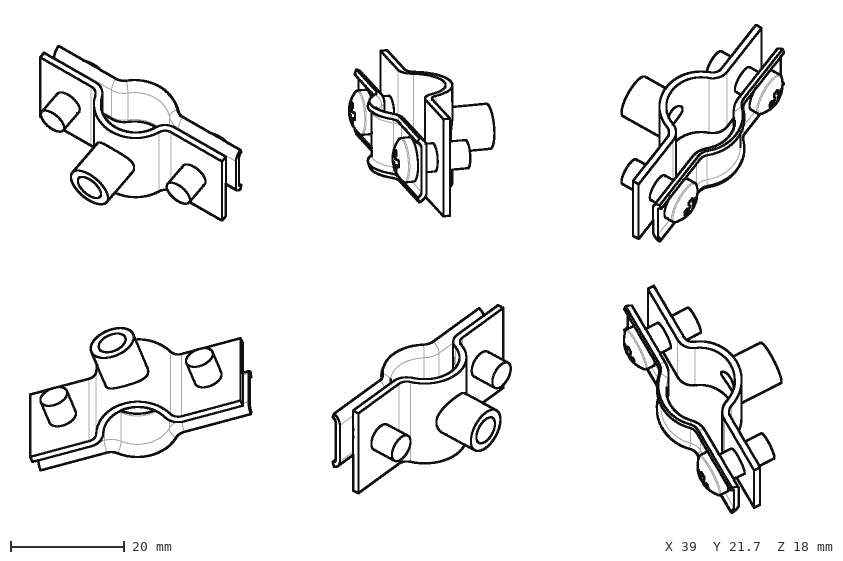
import cadquery as cq
import math

LENGTH = 39.0

SADDLE_WIDTH = 18.0
SADDLE_THICKNESS = 1.2
SADDLE_ARCH_RADIUS = 6.12
SADDLE_BEND_RADIUS = 3.0
SADDLE_BEND_START = 8.55
BOSS_DIAMETER = 8.0
BOSS_BORE = 5.0
BOSS_END = -14.15

CLIP_FRONT = 2.85
CLIP_THICKNESS = 0.98
CLIP_FLAT_WIDTH = 8.2
CURL_RADIUS = 1.0
CURL_ANGLE = math.radians(72)
CLIP_ARCH_RADIUS = 6.25
CLIP_BEND_RADIUS = 3.8
CLIP_BEND_START = 7.18

SCREW_X = 13.5
SHANK_DIAMETER = 5.0
SHANK_TIP = -6.2
HEAD_DIAMETER = 7.85
HEAD_RIM = 1.65
HEAD_HEIGHT = 3.28
RIM_ROUNDING = 0.3
SLOT_WIDTH = 1.2
SLOT_DEPTH = 0.35

CLIP_BACK = CLIP_FRONT + CLIP_THICKNESS
SCREW_POSITIONS = (-SCREW_X, SCREW_X)


def y_cylinder(x, diameter, y_start, y_end):
    """Cylinder along Y, at height Z = 0."""
    return cq.Workplane("XZ", origin=(x, y_start, 0)).circle(diameter / 2).extrude(y_start - y_end)


def make_shank(x):
    """Shank of a screw, from the back of the clip to its tip."""
    return y_cylinder(x, SHANK_DIAMETER, CLIP_BACK, SHANK_TIP)


def cut_screw_holes(strap):
    """Cut a hole that fits each screw shank."""
    for x in SCREW_POSITIONS:
        strap = strap.cut(make_shank(x))
    return strap


def bend_angle(bend_start, arch_radius, bend_radius):
    """Angle that the bend turns through so that it runs smoothly into the arch."""
    return math.asin(bend_start / (arch_radius + bend_radius))


def around(center_y, radius, angle, center_x=0.0):
    """Point on a circle, with the angle measured from +Y towards +X."""
    return (center_x + radius * math.sin(angle), center_y + radius * math.cos(angle))


def make_saddle():
    angle = bend_angle(SADDLE_BEND_START, SADDLE_ARCH_RADIUS, SADDLE_BEND_RADIUS)
    bend_y = -(SADDLE_ARCH_RADIUS + SADDLE_BEND_RADIUS) * math.cos(angle)
    back_y = bend_y + SADDLE_BEND_RADIUS
    front_y = back_y - SADDLE_THICKNESS
    arch_inside = SADDLE_ARCH_RADIUS
    arch_outside = SADDLE_ARCH_RADIUS + SADDLE_THICKNESS
    bend_outside = SADDLE_BEND_RADIUS
    bend_inside = SADDLE_BEND_RADIUS - SADDLE_THICKNESS
    end_x = LENGTH / 2

    def on_arch(radius, side):
        return around(0, radius, side * (math.pi - angle))

    def on_bend(radius, side, turn):
        return around(bend_y, radius, -side * turn, side * SADDLE_BEND_START)

    strap = (
        cq.Workplane("XY")
        .workplane(offset=-SADDLE_WIDTH / 2)
        .moveTo(-end_x, back_y)
        .lineTo(-SADDLE_BEND_START, back_y)
        .threePointArc(on_bend(bend_outside, -1, angle / 2), on_arch(arch_inside, -1))
        .threePointArc((0, -arch_inside), on_arch(arch_inside, 1))
        .threePointArc(on_bend(bend_outside, 1, angle / 2), (SADDLE_BEND_START, back_y))
        .lineTo(end_x, back_y)
        .lineTo(end_x, front_y)
        .lineTo(SADDLE_BEND_START, front_y)
        .threePointArc(on_bend(bend_inside, 1, angle / 2), on_arch(arch_outside, 1))
        .threePointArc((0, -arch_outside), on_arch(arch_outside, -1))
        .threePointArc(on_bend(bend_inside, -1, angle / 2), (-SADDLE_BEND_START, front_y))
        .lineTo(-end_x, front_y)
        .close()
        .extrude(SADDLE_WIDTH)
    )

    arch_middle = (arch_inside + arch_outside) / 2
    arch_core = cq.Workplane("XY").circle(arch_middle).extrude(SADDLE_WIDTH / 2, both=True)
    boss = y_cylinder(0, BOSS_DIAMETER, 0, BOSS_END).cut(arch_core)
    saddle = strap.union(boss).cut(y_cylinder(0, BOSS_BORE, 0, BOSS_END))

    return cut_screw_holes(saddle)


def clip_section(end_x):
    """Cross-section of the clip: a flat web with its two edges curled back."""
    web = CLIP_FLAT_WIDTH / 2
    outer = CURL_RADIUS + CLIP_THICKNESS
    curl_y = CLIP_FRONT + outer

    def on_curl(radius, side, turn):
        return (curl_y - radius * math.cos(turn), side * (web + radius * math.sin(turn)))

    return (
        cq.Workplane("YZ", origin=(end_x, 0, 0))
        .moveTo(CLIP_FRONT, -web)
        .lineTo(CLIP_FRONT, web)
        .threePointArc(on_curl(outer, 1, CURL_ANGLE / 2), on_curl(outer, 1, CURL_ANGLE))
        .lineTo(*on_curl(CURL_RADIUS, 1, CURL_ANGLE))
        .threePointArc(on_curl(CURL_RADIUS, 1, CURL_ANGLE / 2), (CLIP_BACK, web))
        .lineTo(CLIP_BACK, -web)
        .threePointArc(on_curl(CURL_RADIUS, -1, CURL_ANGLE / 2), on_curl(CURL_RADIUS, -1, CURL_ANGLE))
        .lineTo(*on_curl(outer, -1, CURL_ANGLE))
        .threePointArc(on_curl(outer, -1, CURL_ANGLE / 2), (CLIP_FRONT, -web))
        .close()
    )


def make_clip():
    angle = bend_angle(CLIP_BEND_START, CLIP_ARCH_RADIUS, CLIP_BEND_RADIUS)
    bend_y = CLIP_FRONT + CLIP_BEND_RADIUS
    arch_y = bend_y - (CLIP_ARCH_RADIUS + CLIP_BEND_RADIUS) * math.cos(angle)
    end_x = LENGTH / 2

    def on_bend(side, turn):
        return around(bend_y, CLIP_BEND_RADIUS, math.pi + side * turn, side * CLIP_BEND_START)

    path = (
        cq.Workplane("XY")
        .moveTo(-end_x, CLIP_FRONT)
        .lineTo(-CLIP_BEND_START, CLIP_FRONT)
        .threePointArc(on_bend(-1, angle / 2), on_bend(-1, angle))
        .threePointArc((0, arch_y + CLIP_ARCH_RADIUS), on_bend(1, angle))
        .threePointArc(on_bend(1, angle / 2), (CLIP_BEND_START, CLIP_FRONT))
        .lineTo(end_x, CLIP_FRONT)
    )
    clip = clip_section(-end_x).sweep(path)

    return cut_screw_holes(clip)


def make_screw(x):
    """Screw along Y with a domed head, cross-slotted, seated on the back of the clip."""
    head_radius = HEAD_DIAMETER / 2
    dome_height = HEAD_HEIGHT - HEAD_RIM
    dome_radius = (head_radius**2 + dome_height**2) / (2 * dome_height)
    dome_y = CLIP_BACK + HEAD_HEIGHT - dome_radius

    rim = y_cylinder(x, HEAD_DIAMETER, CLIP_BACK + HEAD_HEIGHT, CLIP_BACK)
    dome = cq.Workplane("XY").sphere(dome_radius).translate((x, dome_y, 0))
    head = rim.intersect(dome)
    head = head.edges(cq.selectors.NearestToPointSelector((x, CLIP_BACK + HEAD_RIM, head_radius)))
    head = head.fillet(RIM_ROUNDING)

    slot_y = CLIP_BACK + HEAD_HEIGHT - SLOT_DEPTH / 2
    for size_x, size_z in ((SLOT_WIDTH, HEAD_DIAMETER), (HEAD_DIAMETER, SLOT_WIDTH)):
        head = head.cut(cq.Workplane("XY").box(size_x, SLOT_DEPTH, size_z).translate((x, slot_y, 0)))

    return head.union(make_shank(x))


saddle = make_saddle()
clip = make_clip()
screws = [make_screw(x) for x in SCREW_POSITIONS]

bodies = [saddle, clip, *screws]
result = cq.Compound.makeCompound([body.solids().val() for body in bodies])